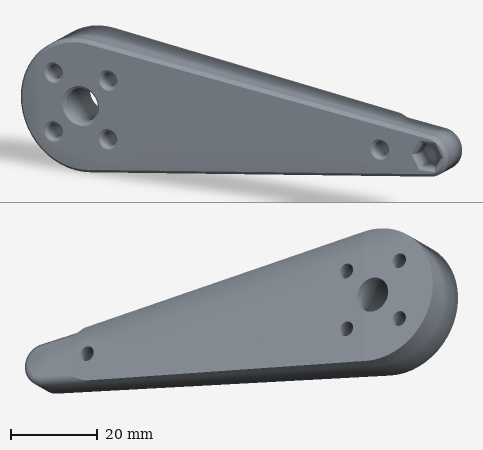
import cadquery as cq
import math

hub_radius = 16.0
tip_radius = 5.0
tip_x = 90.0
hub_thickness = 12.5
tip_thickness = 9.1
taper_start_x = 2.0
taper_end_x = 82.1
front_chamfer = 0.8

bore_diameter = 8.2
bolt_diameter = 3.5
bolt_circle_radius = 10.0
arm_hole_x = 77.7
hole_chamfer = 0.7

hex_across_flats = 5.8
hex_depth = 4.0
hex_chamfer = 0.7

tip_fillet = 1.7
fillet_start_x = 78.5


def teardrop():
    """Outline of two arcs joined by tangent lines."""
    sine = (hub_radius - tip_radius) / tip_x
    cosine = math.sqrt(1 - sine**2)
    return (
        cq.Workplane("XZ")
        .moveTo(hub_radius * sine, hub_radius * cosine)
        .lineTo(tip_x + tip_radius * sine, tip_radius * cosine)
        .threePointArc((tip_x + tip_radius, 0), (tip_x + tip_radius * sine, -tip_radius * cosine))
        .lineTo(hub_radius * sine, -hub_radius * cosine)
        .threePointArc((-hub_radius, 0), (hub_radius * sine, hub_radius * cosine))
        .close()
    )


def make_arm():
    """Teardrop plate with a chamfered front edge and a back that tapers to a flat tip."""
    plate = teardrop().extrude(-hub_thickness).faces("<Y").edges().chamfer(front_chamfer)
    tip_end = tip_x + tip_radius
    side_profile = (
        cq.Workplane("XY")
        .polyline([
            (-hub_radius, 0),
            (tip_end, 0),
            (tip_end, tip_thickness),
            (taper_end_x, tip_thickness),
            (taper_start_x, hub_thickness),
            (-hub_radius, hub_thickness),
        ])
        .close()
        .extrude(hub_radius, both=True)
    )
    return plate.intersect(side_profile)


def make_tip_rounding():
    """Material outside the rounded back edge of the tip, ended by slanted walls."""
    rounded_plate = teardrop().extrude(-tip_thickness).faces(">Y").edges().fillet(tip_fillet)
    sine = (hub_radius - tip_radius) / tip_x
    edge_z = (hub_radius - fillet_start_x * sine) / math.sqrt(1 - sine**2)
    inner_z = edge_z - tip_fillet
    tip_end = tip_x + tip_radius
    zone = (
        cq.Workplane("XZ", origin=(0, tip_thickness - tip_fillet, 0))
        .polyline([
            (fillet_start_x, edge_z),
            (tip_end, edge_z),
            (tip_end, -edge_z),
            (fillet_start_x, -edge_z),
            (taper_end_x, -inner_z),
            (taper_end_x, inner_z),
        ])
        .close()
        .extrude(-hub_thickness)
    )
    return zone.cut(rounded_plate)


def make_hole(x, z, diameter):
    """Through hole with a countersunk front rim."""
    radius = diameter / 2
    hole = cq.Workplane("XZ").center(x, z).circle(radius).extrude(-hub_thickness)
    rim = cq.Solid.makeCone(
        radius + hole_chamfer, radius, hole_chamfer, cq.Vector(x, 0, z), cq.Vector(0, 1, 0)
    )
    return hole.union(cq.Workplane(rim))


def make_hex_pocket():
    """Blind hexagonal pocket with a chamfered rim, corners pointing along X."""
    across_corners = hex_across_flats / math.cos(math.pi / 6)
    rim_corners = (hex_across_flats + 2 * hex_chamfer) / math.cos(math.pi / 6)
    plane = cq.Workplane("XZ").center(tip_x, 0)
    pocket = plane.polygon(6, across_corners).extrude(-hex_depth)
    rim = (
        plane.polygon(6, rim_corners)
        .workplane(offset=-hex_chamfer)
        .polygon(6, across_corners)
        .loft(ruled=True)
    )
    return pocket.union(rim)


result = make_arm().cut(make_tip_rounding())
result = result.cut(make_hole(0, 0, bore_diameter))
result = result.cut(make_hole(arm_hole_x, 0, bolt_diameter))
bolt_offset = bolt_circle_radius / math.sqrt(2)
for x_side in (-1, 1):
    for z_side in (-1, 1):
        result = result.cut(make_hole(x_side * bolt_offset, z_side * bolt_offset, bolt_diameter))
result = result.cut(make_hex_pocket())